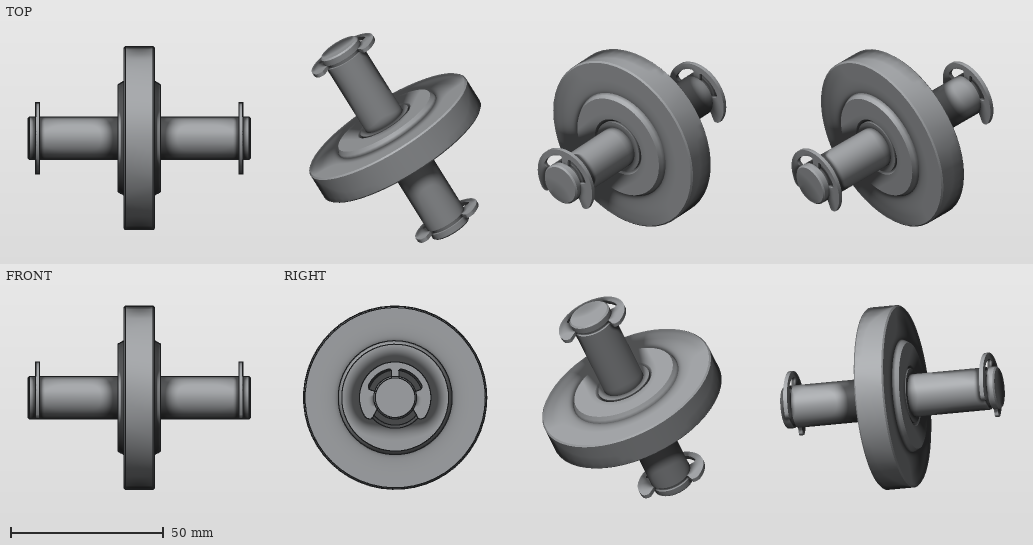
import cadquery as cq
import math


shaft_diameter = 14.0
shaft_length = 72.7
shaft_chamfer = 0.5
groove_diameter = 12.2
groove_width = 1.3
groove_end_distance = 2.45

wheel_diameter = 60.0
rim_width = 10.0
rim_chamfer = 0.5
hub_width = 14.0
hub_face_diameter = 35.0
hub_taper_angle = 30.0
bore_chamfer = 1.0

bush_diameter = 18.0
bush_length = hub_width

clip_radius = 11.7
clip_tip_depth = 6.95
clip_mouth_half_width = 3.9
clip_mouth_slope = 28.0
clip_tip_outer_fillet = 2.0
clip_tip_inner_fillet = 0.8
window_radius = 9.6
window_end_angle = 17.5
window_side_fillet = 1.2
window_top_fillet = 0.8
top_tooth_width = 2.4
window_overlap = 1.0


def cylinder_x(diameter, length):
    """Cylinder along X, centred on the origin."""
    return cq.Workplane("YZ").circle(diameter / 2).extrude(length / 2, both=True)


def make_shaft():
    shaft = cylinder_x(shaft_diameter, shaft_length).faces("<X or >X").chamfer(shaft_chamfer)
    groove = cylinder_x(shaft_diameter, groove_width).cut(cylinder_x(groove_diameter, groove_width))
    for x in clip_positions:
        shaft = shaft.cut(groove.translate((x, 0, 0)))
    return shaft


def make_wheel():
    """Revolve the half section of the wheel, bored for the bush."""
    rim_radius = wheel_diameter / 2
    hub_face_radius = hub_face_diameter / 2
    hub_height = (hub_width - rim_width) / 2
    hub_base_radius = hub_face_radius + hub_height * math.tan(math.radians(hub_taper_angle))
    bore_radius = bush_diameter / 2
    right_half = [
        (hub_width / 2 - bore_chamfer, bore_radius),
        (hub_width / 2, bore_radius + bore_chamfer),
        (hub_width / 2, hub_face_radius),
        (rim_width / 2, hub_base_radius),
        (rim_width / 2, rim_radius - rim_chamfer),
        (rim_width / 2 - rim_chamfer, rim_radius),
    ]
    left_half = [(-x, radius) for x, radius in reversed(right_half)]
    section = cq.Workplane("XY").polyline(right_half + left_half).close()
    return section.revolve(360, (0, 0, 0), (1, 0, 0))


def make_bush():
    return cylinder_x(bush_diameter, bush_length).cut(cylinder_x(shaft_diameter, bush_length))


def make_clip_window():
    """Opening between the top tooth and the +Y side tooth, reaching in to the groove floor."""
    bore_radius = groove_diameter / 2
    tooth_edge = top_tooth_width / 2
    end_angle = math.radians(window_end_angle)
    tooth_angle = math.acos(tooth_edge / window_radius)
    middle_angle = (end_angle + tooth_angle) / 2

    def polar(radius, angle):
        return (radius * math.cos(angle), radius * math.sin(angle))

    inner_radius = bore_radius - window_overlap
    window = (
        cq.Workplane("YZ")
        .moveTo(*polar(inner_radius, end_angle))
        .lineTo(*polar(window_radius, end_angle))
        .threePointArc(polar(window_radius, middle_angle), polar(window_radius, tooth_angle))
        .lineTo(tooth_edge, inner_radius)
        .close()
        .extrude(groove_width / 2, both=True)
    )
    lower_corner = polar(window_radius, end_angle)
    upper_corner = polar(window_radius, tooth_angle)
    window = window.edges(cq.selectors.NearestToPointSelector((0, *lower_corner))).fillet(window_side_fillet)
    return window.edges(cq.selectors.NearestToPointSelector((0, *upper_corner))).fillet(window_top_fillet)


def make_clip():
    """Retaining clip in the YZ plane, open towards -Z."""
    slope = math.tan(math.radians(clip_mouth_slope))
    mouth_bottom = -clip_tip_depth
    mouth_half_width = clip_mouth_half_width + clip_tip_depth * slope
    tip_outer_y = math.sqrt(clip_radius**2 - clip_tip_depth**2)
    body = (
        cq.Workplane("YZ")
        .moveTo(-tip_outer_y, mouth_bottom)
        .threePointArc((0, clip_radius), (tip_outer_y, mouth_bottom))
        .lineTo(mouth_half_width, mouth_bottom)
        .lineTo(clip_mouth_half_width, 0)
        .lineTo(-clip_mouth_half_width, 0)
        .lineTo(-mouth_half_width, mouth_bottom)
        .close()
        .extrude(groove_width / 2, both=True)
    )
    for side in (-1, 1):
        outer_corner = (0, side * tip_outer_y, mouth_bottom)
        inner_corner = (0, side * mouth_half_width, mouth_bottom)
        body = body.edges(cq.selectors.NearestToPointSelector(outer_corner)).fillet(clip_tip_outer_fillet)
        body = body.edges(cq.selectors.NearestToPointSelector(inner_corner)).fillet(clip_tip_inner_fillet)
    window = make_clip_window()
    body = body.cut(window).cut(window.mirror("XZ"))
    return body.cut(cylinder_x(groove_diameter, groove_width))


clip_offset = shaft_length / 2 - groove_end_distance - groove_width / 2
clip_positions = (-clip_offset, clip_offset)

shaft = make_shaft()
wheel = make_wheel()
bush = make_bush()
clips = [make_clip().translate((x, 0, 0)) for x in clip_positions]

result = cq.Compound.makeCompound(
    [shaft.val(), wheel.val(), bush.val(), *[clip.val() for clip in clips]]
)